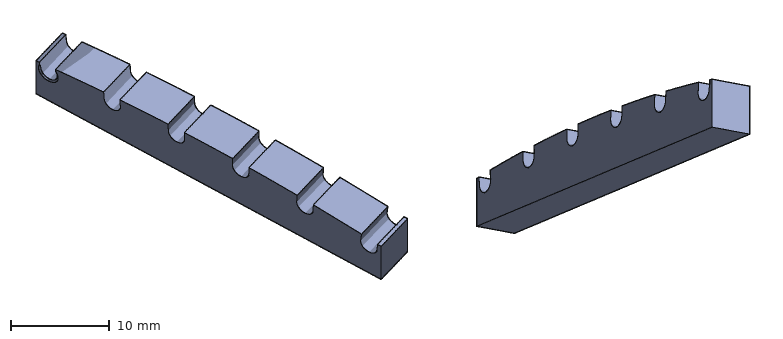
import cadquery as cq
import math

length = 43.0
thickness = 4.6
crown_height = 6.3
end_height = 5.07

slot_count = 6
slot_pitch = 8.0
slot_width = 2.0
slot_depth = 2.0

countersink_growth = 0.2
countersink_depth = 0.15

sagitta = crown_height - end_height
crown_radius = ((length / 2) ** 2 + sagitta**2) / (2 * sagitta)
crown_center_z = crown_height - crown_radius

slot_radius = slot_width / 2
slot_center_radius = crown_radius - slot_depth + slot_radius
slot_step_angle = 2 * math.degrees(math.asin(slot_pitch / (2 * slot_center_radius)))
first_slot_angle = -slot_step_angle * (slot_count - 1) / 2
front_y = -thickness / 2


def make_block():
    """Bar with a flat bottom, square ends and an arched top."""
    return (
        cq.Workplane("XZ")
        .moveTo(-length / 2, 0)
        .lineTo(length / 2, 0)
        .lineTo(length / 2, end_height)
        .threePointArc((0, crown_height), (-length / 2, end_height))
        .close()
        .extrude(thickness / 2, both=True)
    )


def place_at_angle(tool, angle):
    """Swing a tool about the crown center; positive angles lean toward +X."""
    return tool.rotate((0, 0, crown_center_z), (0, 1, crown_center_z), angle)


def make_slot():
    """Round-bottomed, open-topped slot at the middle of the crown."""
    center_z = crown_center_z + slot_center_radius
    top_z = crown_height + slot_radius
    return (
        cq.Workplane("XZ")
        .moveTo(-slot_radius, top_z)
        .lineTo(-slot_radius, center_z)
        .threePointArc((0, center_z - slot_radius), (slot_radius, center_z))
        .lineTo(slot_radius, top_z)
        .close()
        .extrude(thickness, both=True)
    )


def make_countersink():
    """Cone around the slot's round bottom, narrowing inward from the front face."""
    cone = cq.Solid.makeCone(
        slot_radius + countersink_growth,
        slot_radius,
        countersink_depth,
        cq.Vector(0, front_y, crown_center_z + slot_center_radius),
        cq.Vector(0, 1, 0),
    )
    return cq.Workplane(obj=cone)


result = make_block()
for index in range(slot_count):
    slot_angle = first_slot_angle + index * slot_step_angle
    result = result.cut(place_at_angle(make_slot(), slot_angle))
result = result.cut(place_at_angle(make_countersink(), first_slot_angle))